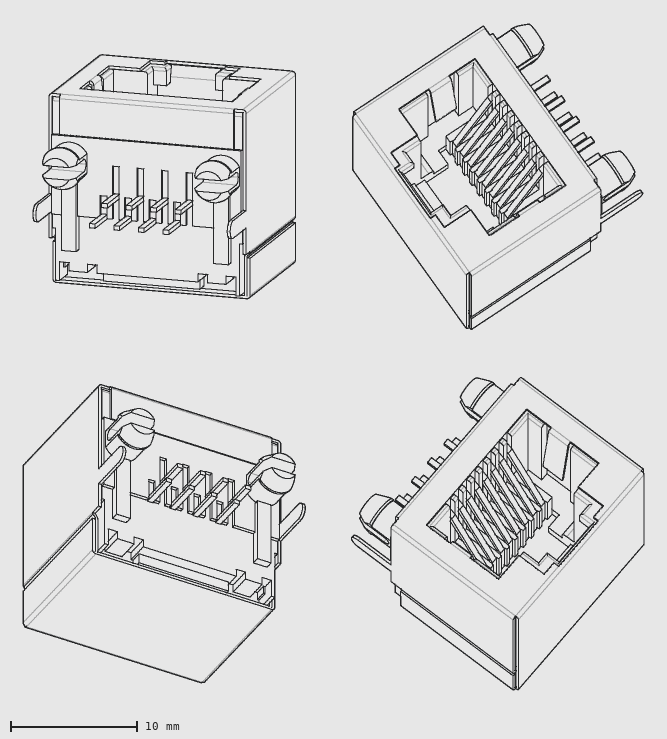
import cadquery as cq
import math


OVERALL_DEPTH = 16.7
FULL_ROUND = 0.99

SHELL_WIDTH = 16.4
SHELL_HEIGHT = 15.7
BACK_Y = 13.0
SHEET = 0.25
BEND = 0.3
SIDE_FRONT_Y = BEND
SIDE_BACK_Y = BACK_Y - BEND
BACK_WIDTH = SHELL_WIDTH - 2 * BEND
FLAP_WIDTH = 14.45
FLAP_BOTTOM_Z = 12.47
LOWER_FRONT_Y = 1.3
LOWER_CUT_Z = 3.89
SEAM_BEND_Z = 3.74
SEAM_LIP_Z = 3.47
SEAM_BOTTOM_Z = 3.34
SEAM_STEP = 0.27
SEAM_ROUND = 0.03
TAB_Z = 6.78
TAB_WIDTH = 1.44
TAB_TIP_Y = BACK_Y - OVERALL_DEPTH

SIDE_GAP = 0.07
HOUSING_WIDTH = SHELL_WIDTH - 2 * (SHEET + SIDE_GAP)
HOUSING_TOP_Z = SHELL_HEIGHT - SHEET
HOUSING_BACK_Y = BACK_Y - SHEET
HOUSING_BOTTOM_Z = 0.45
PANEL_BOTTOM_Z = 5.93
PANEL_TOP_Z = 12.4
PANEL_RISE = 0.3
TOP_ROUND = 0.33
WAIST_WIDTH = 15.3
WAIST_TOP_Z = 4.71
BASE_Z = 1.32
BASE_DEPTH = 2.0
LEG_INNER_X = 7.33
FOOT_WIDTH = 8.02
NOTCH_TOP_Z = 1.99
NOTCH_WIDTH = 0.82
NOTCH_STEP = 0.15
NOTCH_XS = (4.6, LEG_INNER_X - NOTCH_WIDTH / 2)

PORT_WIDTH = 11.85
PORT_FRONT_Y = 2.82
PORT_BACK_Y = 9.72
PORT_FLOOR_Z = 4.0
LATCH_WIDTH = 6.25
LATCH_SHOULDER_Y = 11.17
LATCH_NECK_WIDTH = 4.07
LATCH_BACK_Y = 12.2
LATCH_SHOULDER_DEPTH = 1.4
PORT_ROUND = 0.23
LATCH_CHAMFER = 0.27
LATCH_CHAMFER_DEPTH = 0.92
LEDGE_WIDTH = 1.2
LEDGE_HEIGHT = 1.0
LEDGE_ROUND = 0.48
PIT_FLOOR_Z = 3.0
PIT_WIDTH = 8.98
PIT_BACK_Y = 7.13
LATCH_STEP_YS = (9.39, 10.39)
LATCH_STEP_RISE = 1.0
WINDOW_WIDTH = 12.63
WINDOW_FRONT_Y = 2.37
WINDOW_BACK_Y = 9.67
WINDOW_LATCH_WIDTH = 7.45
WINDOW_LATCH_Y = 12.2
WINDOW_NECK_WIDTH = 4.98
SPRING_Y = 5.83
SPRING_WIDTH = 1.95
SPRING_REACH = 1.05
SPRING_TIP_Z = 9.35
SPRING_BEND = 0.33
SPRING_SHEET = 0.17
SPRING_BAY_WIDTH = 2.94
SPRING_BAY_Y = 5.66
SPRING_BAY_DEPTH = 0.67

PIN_COUNT = 8
PIN_PITCH = 1.02
PIN_WIDTH = 0.48
PIN_HEIGHT = 0.35
PIN_TIP_Y = -2.79
PIN_ROOT_Y = 1.34
PIN_ROW_Z = (6.03, 7.77)
PIN_SLOT_TOP_Z = (7.77, 10.25)
PIN_SLOT_WIDTH = 0.57
COMB_BACK_Y = 6.41
COMB_TOP_Z = 6.68
COMB_SLOT_WIDTH = 0.58
COMB_FLARE_WIDTH = 0.68
COMB_FLARE_DEPTH = 0.42
CONTACT_TOP_Z = 13.36
CONTACT_BEND_Y = 2.9
CONTACT_BEND_Z = 12.86
CONTACT_SHEET = 0.35
CONTACT_BACK_Y = 6.23

PEG_X = 6.33
PEG_Z = 10.32
PEG_RADIUS = 1.6
PEG_LIP_RADIUS = 1.7
PEG_TIP_RADIUS = 1.17
PEG_FLAT_WIDTH = 2.8
PEG_LIP_Y = -2.04
PEG_CONE_Y = -2.24
PEG_TIP_Y = -3.54
PEG_SLOT = 1.02
PEG_SLOT_END_Y = -0.28
RIB_WIDTH = 1.24
RIB_FRONT_Y = -0.37
RIB_BOTTOM_Z = 3.12


def block(x_range, y_range, z_range):
    """Box between two limits on each axis."""
    (x0, x1), (y0, y1), (z0, z1) = x_range, y_range, z_range
    return cq.Workplane("XY").box(x1 - x0, y1 - y0, z1 - z0, centered=False).translate((x0, y0, z0))


def slab(width, y_range, z_range):
    """Box centred on X."""
    return block((-width / 2, width / 2), y_range, z_range)


def both_sides(solid):
    """The solid together with its mirror image across X = 0."""
    return solid.union(solid.mirror("YZ"))


def side_profile(points, width, x_centre=0.0):
    """Solid of the given X width from an outline of (y, z) points."""
    outline = cq.Workplane("YZ", origin=(x_centre, 0, 0)).polyline(points).close()
    return outline.extrude(width / 2, both=True)


def stepped_outline(front_y, widths, steps):
    """Outline symmetric in X: widths[i] reaches back to steps[i]."""
    right = [(widths[0] / 2, front_y)]
    for index, step in enumerate(steps):
        right.append((widths[index] / 2, step))
        if index + 1 < len(widths):
            right.append((widths[index + 1] / 2, step))
    left = [(-x, y) for x, y in reversed(right)]
    return right + left


def pin_positions():
    """X place and row (0 lower, 1 upper) of every contact."""
    first = -PIN_PITCH * (PIN_COUNT - 1) / 2
    return [(first + index * PIN_PITCH, index % 2) for index in range(PIN_COUNT)]


def make_overlap():
    """Lower part of the +X side sheet, stepped in to run down behind the lower shell."""
    outer = SHELL_WIDTH / 2
    inner = outer - SHEET
    points = [
        (outer, LOWER_CUT_Z),
        (outer - SEAM_ROUND, SEAM_BEND_Z),
        (outer - SEAM_STEP, SEAM_LIP_Z),
        (outer - SEAM_STEP, SHEET),
        (inner - SEAM_STEP + SEAM_ROUND, SHEET),
        (inner - SEAM_STEP + SEAM_ROUND, SEAM_LIP_Z),
        (inner, LOWER_CUT_Z),
    ]
    sheet = cq.Workplane("XZ", origin=(0, LOWER_FRONT_Y, 0)).polyline(points).close()
    return sheet.extrude(LOWER_FRONT_Y - SIDE_BACK_Y)


def make_shell():
    """Sheet-metal shell: sleeve, back sheet and front flap, open at the board side and the port."""
    full_height = (0, SHELL_HEIGHT)
    sleeve = slab(SHELL_WIDTH, (SIDE_FRONT_Y, SIDE_BACK_Y), full_height).edges("|Y").fillet(BEND)
    back = slab(BACK_WIDTH, (SIDE_FRONT_Y, BACK_Y), full_height).edges("|X and >Y").fillet(BEND)
    flap = slab(FLAP_WIDTH, (0, LOWER_FRONT_Y), (FLAP_BOTTOM_Z, SHELL_HEIGHT))
    flap = flap.edges("|X and >Z and <Y").fillet(BEND)
    inside = slab(SHELL_WIDTH - 2 * SHEET, (SHEET, BACK_Y - SHEET), (SHEET, SHELL_HEIGHT - SHEET))
    shell = sleeve.union(back).union(flap).cut(inside)

    shell = shell.cut(slab(SHELL_WIDTH, (0, LOWER_FRONT_Y), (0, LOWER_CUT_Z)))
    shell = shell.cut(slab(SHELL_WIDTH, (0, SIDE_BACK_Y), (SEAM_BOTTOM_Z, LOWER_CUT_Z)))
    shell = shell.union(both_sides(make_overlap()))

    window = stepped_outline(
        WINDOW_FRONT_Y,
        (WINDOW_WIDTH, WINDOW_LATCH_WIDTH, WINDOW_NECK_WIDTH),
        (WINDOW_BACK_Y, WINDOW_LATCH_Y, SIDE_BACK_Y),
    )
    top_opening = cq.Workplane("XY", origin=(0, 0, SHELL_HEIGHT)).polyline(window).close().extrude(-SHEET)
    return shell.cut(top_opening)


def make_tab():
    """Ground tab with a round tip, extending the +X side sheet."""
    outer = SHELL_WIDTH / 2
    tab = block(
        (outer - SHEET, outer),
        (TAB_TIP_Y, LOWER_FRONT_Y),
        (TAB_Z - TAB_WIDTH / 2, TAB_Z + TAB_WIDTH / 2),
    )
    return tab.edges("|X and <Y").fillet(FULL_ROUND * TAB_WIDTH / 2)


def make_spring():
    """Grounding spring hanging from the top sheet and leaning into the +X side of the port."""
    root_x = WINDOW_WIDTH / 2
    tip_x = root_x - SPRING_REACH
    bend_z = SHELL_HEIGHT - SPRING_BEND
    arc_offset = SPRING_BEND * math.sqrt(0.5)
    outline = (
        cq.Workplane("XZ", origin=(0, SPRING_Y, 0))
        .moveTo(root_x, SHELL_HEIGHT)
        .threePointArc((root_x - arc_offset, bend_z + arc_offset), (root_x - SPRING_BEND, bend_z))
        .lineTo(tip_x, SPRING_TIP_Z)
        .lineTo(tip_x + SPRING_SHEET, SPRING_TIP_Z)
        .lineTo(root_x - SPRING_BEND + SPRING_SHEET, bend_z)
        .lineTo(root_x, SHELL_HEIGHT - SHEET)
        .close()
    )
    return outline.extrude(SPRING_WIDTH / 2, both=True)


def make_housing_body():
    """Solid housing with its narrow waist and the raised panel on the board side."""
    depth = (PANEL_RISE, HOUSING_BACK_Y)
    upper = slab(HOUSING_WIDTH, depth, (WAIST_TOP_Z, HOUSING_TOP_Z))
    upper = upper.edges("|X and >Z and <Y").fillet(TOP_ROUND)
    waist = slab(WAIST_WIDTH, depth, (HOUSING_BOTTOM_Z, WAIST_TOP_Z))
    panel = slab(HOUSING_WIDTH, (0, PANEL_RISE), (PANEL_BOTTOM_Z, PANEL_TOP_Z))
    return upper.union(waist).union(panel)


def cut_base(body):
    """Hollow under the front wall, with its notches and the set-back foot."""
    hollow_y = (PANEL_RISE, PANEL_RISE + BASE_DEPTH)
    body = body.cut(slab(2 * LEG_INNER_X, hollow_y, (HOUSING_BOTTOM_Z, BASE_Z)))
    for x in NOTCH_XS:
        notch = block((x - NOTCH_WIDTH / 2, x + NOTCH_WIDTH / 2), hollow_y, (BASE_Z, NOTCH_TOP_Z))
        body = body.cut(both_sides(notch))
    step_y = (LOWER_FRONT_Y, hollow_y[1])
    step = block((LEG_INNER_X - NOTCH_STEP, LEG_INNER_X), step_y, (BASE_Z, NOTCH_TOP_Z))
    foot = slab(FOOT_WIDTH, step_y, (HOUSING_BOTTOM_Z, BASE_Z))
    sole = slab(WAIST_WIDTH, (hollow_y[1], HOUSING_BACK_Y), (SHEET, HOUSING_BOTTOM_Z))
    return body.union(both_sides(step)).union(foot).union(sole)


def cut_mouth(body):
    """Cut the stepped mouth of the port and round its rim."""
    mouth_back_y = LATCH_BACK_Y + LATCH_CHAMFER
    mouth = stepped_outline(
        PORT_FRONT_Y,
        (PORT_WIDTH, LATCH_WIDTH, LATCH_NECK_WIDTH),
        (PORT_BACK_Y, LATCH_SHOULDER_Y, mouth_back_y),
    )
    top = cq.Workplane("XY", origin=(0, 0, HOUSING_TOP_Z)).polyline(mouth).close()
    body = body.cut(top.extrude(-LATCH_SHOULDER_DEPTH))

    wide_rim = rim_edges(PORT_WIDTH, PORT_FRONT_Y, PORT_BACK_Y)
    latch_rim = rim_edges(LATCH_WIDTH, PORT_BACK_Y, mouth_back_y)
    body = body.edges(wide_rim + latch_rim).fillet(PORT_ROUND)

    shoulder_z = HOUSING_TOP_Z - LATCH_SHOULDER_DEPTH
    lead_in = [
        (mouth_back_y, HOUSING_TOP_Z),
        (LATCH_BACK_Y, HOUSING_TOP_Z - LATCH_CHAMFER_DEPTH),
        (LATCH_BACK_Y, shoulder_z),
        (mouth_back_y, shoulder_z),
    ]
    return body.union(side_profile(lead_in, LATCH_NECK_WIDTH))


def rim_edges(width, front_y, back_y):
    """Selector for top edges whose centres lie in a span, excluding the back one."""
    margin = PORT_ROUND / 2
    return cq.selectors.BoxSelector(
        (-width / 2 - margin, front_y - margin, HOUSING_TOP_Z - margin),
        (width / 2 + margin, back_y - margin, HOUSING_TOP_Z + margin),
    )


def make_port():
    """Plug cavity with its latch channel and the bays for the grounding springs."""
    channel_z = (PIT_FLOOR_Z, HOUSING_TOP_Z - LATCH_SHOULDER_DEPTH)
    cavity = slab(PORT_WIDTH, (PORT_FRONT_Y, PORT_BACK_Y), (PORT_FLOOR_Z, HOUSING_TOP_Z))
    ledge_z = (PORT_FLOOR_Z, PORT_FLOOR_Z + LEDGE_HEIGHT)
    ledge = slab(PORT_WIDTH, (PORT_BACK_Y - LEDGE_WIDTH, PORT_BACK_Y), ledge_z)
    ledge = ledge.edges("|X and >Z and <Y").fillet(LEDGE_ROUND)
    channel = slab(LATCH_WIDTH, (PORT_FRONT_Y, LATCH_BACK_Y), channel_z)
    pit = slab(PIT_WIDTH, (PORT_FRONT_Y, PIT_BACK_Y), (PIT_FLOOR_Z, PORT_FLOOR_Z))
    port = cavity.cut(ledge).union(channel).union(pit)

    wall_x = PORT_WIDTH / 2
    bay = block(
        (wall_x, wall_x + SPRING_BAY_DEPTH),
        (SPRING_BAY_Y - SPRING_BAY_WIDTH / 2, SPRING_BAY_Y + SPRING_BAY_WIDTH / 2),
        (PORT_FLOOR_Z, HOUSING_TOP_Z),
    )
    return port.union(both_sides(bay))


def make_latch_steps():
    """Floor of the latch channel, rising in steps behind the pit."""
    steps = cq.Workplane("XY")
    for index, step_y in enumerate(LATCH_STEP_YS):
        top_z = PIT_FLOOR_Z + (index + 1) * LATCH_STEP_RISE
        steps = steps.add(slab(LATCH_WIDTH, (step_y, LATCH_BACK_Y), (PIT_FLOOR_Z, top_z)))
    return steps.combine()


def make_comb():
    """Block at the front of the pit that keeps the contacts apart."""
    return slab(PIT_WIDTH, (PORT_FRONT_Y, COMB_BACK_Y), (PIT_FLOOR_Z, COMB_TOP_Z))


def make_contact_slot(x):
    """Slot through the comb and into the front wall of the port."""
    half = COMB_SLOT_WIDTH / 2
    flare = COMB_FLARE_WIDTH / 2
    flare_y = COMB_BACK_Y - COMB_FLARE_DEPTH
    points = [
        (x - half, WINDOW_FRONT_Y),
        (x + half, WINDOW_FRONT_Y),
        (x + half, flare_y),
        (x + flare, COMB_BACK_Y),
        (x - flare, COMB_BACK_Y),
        (x - half, flare_y),
    ]
    outline = cq.Workplane("XY", origin=(0, 0, PIT_FLOOR_Z)).polyline(points).close()
    return outline.extrude(HOUSING_TOP_Z - PIT_FLOOR_Z)


def make_contact(x):
    """Spring contact sloping from the front wall down to the floor of the comb."""
    points = [
        (WINDOW_FRONT_Y, CONTACT_TOP_Z),
        (CONTACT_BEND_Y, CONTACT_BEND_Z),
        (CONTACT_BACK_Y, COMB_TOP_Z),
        (CONTACT_BACK_Y, PIT_FLOOR_Z),
        (CONTACT_BACK_Y - CONTACT_SHEET, PIT_FLOOR_Z),
        (CONTACT_BACK_Y - CONTACT_SHEET, COMB_TOP_Z),
        (WINDOW_FRONT_Y, CONTACT_BEND_Z),
    ]
    return side_profile(points, PIN_WIDTH, x)


def make_pin_slot(x, row):
    """Shallow groove in the raised panel above a pin."""
    half = PIN_SLOT_WIDTH / 2
    return block((x - half, x + half), (0, PANEL_RISE), (PANEL_BOTTOM_Z, PIN_SLOT_TOP_Z[row]))


def make_pin(x, row):
    """Solder pin of one contact."""
    z = PIN_ROW_Z[row]
    return block(
        (x - PIN_WIDTH / 2, x + PIN_WIDTH / 2),
        (PIN_TIP_Y, PIN_ROOT_Y),
        (z - PIN_HEIGHT / 2, z + PIN_HEIGHT / 2),
    )


def make_peg():
    """Split snap peg with side flats, and the standoff rib below it, on the +X side."""
    profile = [
        (PANEL_RISE, 0),
        (PANEL_RISE, PEG_RADIUS),
        (PEG_LIP_Y, PEG_RADIUS),
        (PEG_LIP_Y, PEG_LIP_RADIUS),
        (PEG_CONE_Y, PEG_LIP_RADIUS),
        (PEG_TIP_Y, PEG_TIP_RADIUS),
        (PEG_TIP_Y, 0),
    ]
    peg = cq.Workplane("YZ").polyline(profile).close().revolve(360, (0, 0, 0), (1, 0, 0))
    peg = peg.intersect(slab(PEG_FLAT_WIDTH, (PEG_TIP_Y, PANEL_RISE), (-PEG_LIP_RADIUS, PEG_LIP_RADIUS)))
    slot_radius = PEG_SLOT / 2
    slot = slab(PEG_FLAT_WIDTH, (2 * PEG_TIP_Y, PEG_SLOT_END_Y), (-slot_radius, slot_radius))
    slot = slot.edges("|X and >Y").fillet(FULL_ROUND * slot_radius)
    peg = peg.cut(slot).translate((PEG_X, 0, PEG_Z))

    rib_x = (PEG_X - RIB_WIDTH / 2, PEG_X + RIB_WIDTH / 2)
    rib = block(rib_x, (RIB_FRONT_Y, PANEL_RISE), (RIB_BOTTOM_Z, PEG_Z - PEG_RADIUS))
    return peg.union(rib)


housing = cut_mouth(cut_base(make_housing_body())).cut(make_port())
housing = housing.union(make_latch_steps()).union(make_comb())
for pin_x, pin_row in pin_positions():
    housing = housing.cut(make_contact_slot(pin_x)).cut(make_pin_slot(pin_x, pin_row))
    housing = housing.union(make_contact(pin_x)).union(make_pin(pin_x, pin_row))

result = housing.union(make_shell())
for side_feature in (make_tab(), make_spring(), make_peg()):
    result = result.union(both_sides(side_feature))